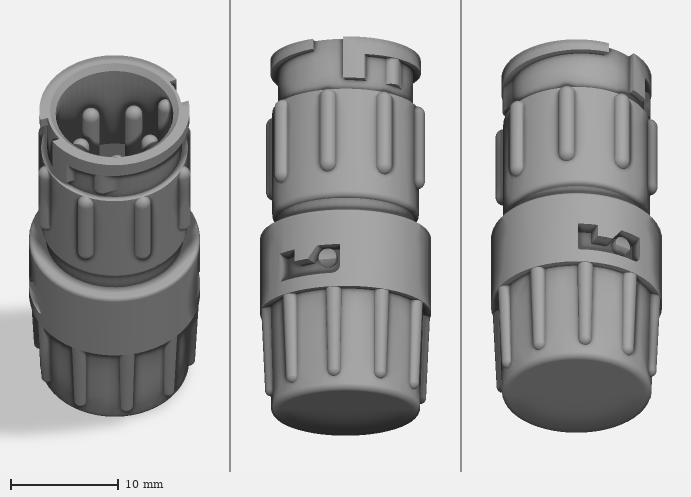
import cadquery as cq
import math

TOTAL_HEIGHT = 34.78
COLLAR_BOTTOM = 9.8
COLLAR_TOP = 17.45
SLEEVE_BOTTOM = 19.02
SLEEVE_TOP = 29.65

GRIP_BOTTOM_RADIUS = 6.95
GRIP_TOP_RADIUS = 7.25
GRIP_EDGE_FILLET = 0.55
GRIP_RIB_COUNT = 10
GRIP_RIB_FIRST_ANGLE = -85.0
GRIP_RIB_BOTTOM = 1.77
GRIP_RIB_BOTTOM_RADIUS = 0.6
GRIP_RIB_TOP_RADIUS = 0.73
GRIP_RIB_CAP_HEIGHT = 0.5

COLLAR_RADIUS = 8.0
COLLAR_FILLET = 0.35
COLLAR_TURN = -13.2
NECK_RADIUS = 6.45

SLOT_HALF_WIDTH = 3.15
SLOT_BOTTOM = 11.13
SLOT_TOP = 13.95
SLOT_SMALL_FILLET = 0.2
SLOT_LARGE_FILLET = 0.75
TAB_BOTTOM = 12.75
TAB_LEFT = -1.35
TAB_RIGHT = 0.1
TAB_RAMP_END = 1.05

PIN_RADIUS = 0.85
PIN_HEIGHT = 13.05
PIN_REACH = 7.13
PIN_BEVEL_HEIGHT = 12.85

SLEEVE_RADIUS = 6.85
SLEEVE_FILLET = 0.55
SLEEVE_RIB_COUNT = 8
SLEEVE_RIB_RADIUS = 0.75
SLEEVE_RIB_BOTTOM = 21.55

PLUG_RADIUS = 6.3
BORE_RADIUS = 5.5
BORE_CHAMFER = 0.52
BORE_FLOOR = 24.35

RIM_RADIUS = 7.03
RAMP_LOW = 32.97
RAMP_PITCH = 1.75
RIM_NOTCH_HALF_WIDTH = 1.45
LUG_BOTTOM = 30.7
LUG_END = 3.35
STOP_FLAT = 5.95
STOP_ARC_RADIUS = 0.8
STOP_ARC_CENTRE_Y = -3.3
STOP_TIP_X = 4.85

CONTACT_COUNT = 5
CONTACT_CIRCLE_RADIUS = 3.4
CONTACT_RADIUS = 0.8
CONTACT_TOP = 31.95
KEY_RADIUS = 0.73
KEY_OFFSET = 5.18
KEY_TOP = 33.88


def disc(radius, bottom, top):
    """Cylinder about Z between two heights."""
    return cq.Workplane("XY").workplane(offset=bottom).circle(radius).extrude(top - bottom)


def turned(shape, angle):
    """Copy of a shape turned about the Z axis."""
    return shape.rotate((0, 0, 0), (0, 0, 1), angle)


def opposite_pair(shape):
    """The shape together with its half-turn copy."""
    return shape.union(turned(shape, 180))


def capsule(radius, bottom, top):
    """Upright rod on the Z axis with a hemisphere at each end."""
    outline = (
        cq.Workplane("XZ")
        .moveTo(0, bottom)
        .radiusArc((radius, bottom + radius), -radius)
        .lineTo(radius, top - radius)
        .radiusArc((0, top), -radius)
        .close()
    )
    return outline.revolve(360, (0, 0, 0), (0, 1, 0))


def grip():
    """Cone that narrows downward, with a rounded lower edge and tapered ribs."""
    body = (
        cq.Workplane("XZ")
        .polyline([(0, 0), (GRIP_BOTTOM_RADIUS, 0), (GRIP_TOP_RADIUS, COLLAR_BOTTOM), (0, COLLAR_BOTTOM)])
        .close()
        .revolve(360, (0, 0, 0), (0, 1, 0))
        .faces("<Z")
        .edges()
        .fillet(GRIP_EDGE_FILLET)
    )
    taper = (GRIP_TOP_RADIUS - GRIP_BOTTOM_RADIUS) / COLLAR_BOTTOM
    rib_length = COLLAR_BOTTOM - GRIP_RIB_BOTTOM
    cap_radius = (GRIP_RIB_BOTTOM_RADIUS**2 + GRIP_RIB_CAP_HEIGHT**2) / (2 * GRIP_RIB_CAP_HEIGHT)
    rib = (
        cq.Workplane("XZ")
        .moveTo(0, -GRIP_RIB_CAP_HEIGHT)
        .radiusArc((GRIP_RIB_BOTTOM_RADIUS, 0), -cap_radius)
        .lineTo(GRIP_RIB_TOP_RADIUS, rib_length)
        .lineTo(0, rib_length)
        .close()
        .revolve(360, (0, 0, 0), (0, 1, 0))
        .rotate((0, 0, 0), (0, 1, 0), math.degrees(math.atan(taper)))
        .translate((GRIP_BOTTOM_RADIUS + taper * GRIP_RIB_BOTTOM, 0, GRIP_RIB_BOTTOM))
    )
    for index in range(GRIP_RIB_COUNT):
        body = body.union(turned(rib, GRIP_RIB_FIRST_ANGLE + index * 360 / GRIP_RIB_COUNT))
    return body


def bayonet_slot():
    """Slot on the -Y side, with a ramped tab hanging from its upper edge."""
    outline = (
        cq.Workplane("XZ")
        .moveTo(-SLOT_HALF_WIDTH, SLOT_TOP)
        .lineTo(-SLOT_HALF_WIDTH, SLOT_BOTTOM + SLOT_SMALL_FILLET)
        .radiusArc((-SLOT_HALF_WIDTH + SLOT_SMALL_FILLET, SLOT_BOTTOM), -SLOT_SMALL_FILLET)
        .lineTo(SLOT_HALF_WIDTH - SLOT_LARGE_FILLET, SLOT_BOTTOM)
        .radiusArc((SLOT_HALF_WIDTH, SLOT_BOTTOM + SLOT_LARGE_FILLET), -SLOT_LARGE_FILLET)
        .lineTo(SLOT_HALF_WIDTH, SLOT_TOP)
        .lineTo(TAB_RAMP_END, SLOT_TOP)
        .lineTo(TAB_RIGHT, TAB_BOTTOM)
        .lineTo(TAB_LEFT, TAB_BOTTOM)
        .lineTo(TAB_LEFT, SLOT_TOP)
        .close()
    )
    return outline.extrude(COLLAR_RADIUS)


def collar():
    """Ring around the neck with a bayonet slot on two opposite sides."""
    ring = disc(COLLAR_RADIUS, COLLAR_BOTTOM, COLLAR_TOP).faces(">Z").edges().fillet(COLLAR_FILLET)
    return ring.cut(turned(opposite_pair(bayonet_slot()), COLLAR_TURN))


def bayonet_pins():
    """Two opposite radial pins, each bevelled at 45 degrees on the lower side of its end."""
    pin_bottom = PIN_HEIGHT - PIN_RADIUS
    bevel = PIN_BEVEL_HEIGHT - pin_bottom
    pin = cq.Workplane("XZ").center(0, PIN_HEIGHT).circle(PIN_RADIUS).extrude(PIN_REACH)
    waste = (
        cq.Workplane("YZ")
        .polyline([
            (-PIN_REACH, PIN_BEVEL_HEIGHT),
            (-PIN_REACH + bevel, pin_bottom),
            (-PIN_REACH, pin_bottom),
        ])
        .close()
        .extrude(PIN_RADIUS, both=True)
    )
    return opposite_pair(pin.cut(waste))


def sleeve():
    """Ribbed ring with a rounded lower edge."""
    ring = disc(SLEEVE_RADIUS, SLEEVE_BOTTOM, SLEEVE_TOP).faces("<Z").edges().fillet(SLEEVE_FILLET)
    ring = turned(ring, 180 / SLEEVE_RIB_COUNT)
    rib = capsule(SLEEVE_RIB_RADIUS, SLEEVE_RIB_BOTTOM, SLEEVE_TOP).translate((SLEEVE_RADIUS, 0, 0))
    for index in range(SLEEVE_RIB_COUNT):
        ring = ring.union(turned(rib, index * 360 / SLEEVE_RIB_COUNT))
    return ring


def lug_block():
    """Block around the lug beside the +Y notch, on its -X side."""
    return (
        cq.Workplane("XY")
        .workplane(offset=LUG_BOTTOM - RAMP_PITCH)
        .rect(-LUG_END, COLLAR_RADIUS, centered=False)
        .extrude(TOTAL_HEIGHT - LUG_BOTTOM + RAMP_PITCH)
    )


def ramp_cutter():
    """Half-turn helical bar whose top is the sloping underside of the rim, interrupted at the lug."""
    rise = RAMP_PITCH / 2
    bar_height = TOTAL_HEIGHT - LUG_BOTTOM
    path = cq.Workplane(cq.Wire.makeHelix(RAMP_PITCH, rise, RIM_RADIUS))
    bar = (
        cq.Workplane("XZ")
        .moveTo(BORE_RADIUS, -bar_height)
        .lineTo(COLLAR_RADIUS, -bar_height)
        .lineTo(COLLAR_RADIUS, 0)
        .lineTo(BORE_RADIUS, 0)
        .close()
        .sweep(path, isFrenet=True)
    )
    return turned(bar, 90).translate((0, 0, RAMP_LOW)).cut(lug_block())


def stop():
    """Small stop under the rim, with a flat side toward +X and a rounded nose."""
    arc_centre_x = STOP_FLAT - STOP_ARC_RADIUS
    tip_y = STOP_ARC_CENTRE_Y - math.sqrt(STOP_ARC_RADIUS**2 - (arc_centre_x - STOP_TIP_X) ** 2)
    flat_end_y = -math.sqrt(PLUG_RADIUS**2 - STOP_FLAT**2)
    return (
        cq.Workplane("XY")
        .workplane(offset=LUG_BOTTOM)
        .moveTo(STOP_FLAT, flat_end_y)
        .lineTo(STOP_FLAT, STOP_ARC_CENTRE_Y)
        .radiusArc((STOP_TIP_X, tip_y), STOP_ARC_RADIUS)
        .close()
        .extrude(RAMP_LOW + RAMP_PITCH / 2 - LUG_BOTTOM)
    )


def rim():
    """Ring at the very top: ramped underside, two notches, lugs and stops."""
    notch = (
        cq.Workplane("XY")
        .workplane(offset=LUG_BOTTOM)
        .rect(2 * RIM_NOTCH_HALF_WIDTH, 2 * COLLAR_RADIUS)
        .extrude(TOTAL_HEIGHT - LUG_BOTTOM)
    )
    ring = disc(RIM_RADIUS, LUG_BOTTOM, TOTAL_HEIGHT).cut(opposite_pair(ramp_cutter()))
    return ring.cut(notch).union(opposite_pair(stop()))


def bore():
    """Hollow of the plug end, widened by a chamfer at the mouth."""
    mouth_radius = BORE_RADIUS + BORE_CHAMFER
    return (
        cq.Workplane("XZ")
        .polyline([
            (0, BORE_FLOOR),
            (BORE_RADIUS, BORE_FLOOR),
            (BORE_RADIUS, TOTAL_HEIGHT - BORE_CHAMFER),
            (mouth_radius, TOTAL_HEIGHT),
            (0, TOTAL_HEIGHT),
        ])
        .close()
        .revolve(360, (0, 0, 0), (0, 1, 0))
    )


def contacts():
    """Round-ended contacts on a circle, plus one key post against the bore wall."""
    sunk_end = BORE_FLOOR - 2 * CONTACT_RADIUS
    contact = capsule(CONTACT_RADIUS, sunk_end, CONTACT_TOP).translate((0, -CONTACT_CIRCLE_RADIUS, 0))
    posts = capsule(KEY_RADIUS, sunk_end, KEY_TOP).translate((0, KEY_OFFSET, 0))
    for index in range(CONTACT_COUNT):
        posts = posts.union(turned(contact, index * 360 / CONTACT_COUNT))
    return posts


plug = disc(PLUG_RADIUS, SLEEVE_TOP, TOTAL_HEIGHT).union(rim())
neck = disc(NECK_RADIUS, COLLAR_BOTTOM, SLEEVE_BOTTOM + SLEEVE_FILLET)
shell = grip().union(collar()).union(neck).union(bayonet_pins()).union(sleeve()).union(plug)
result = shell.cut(bore()).union(contacts())